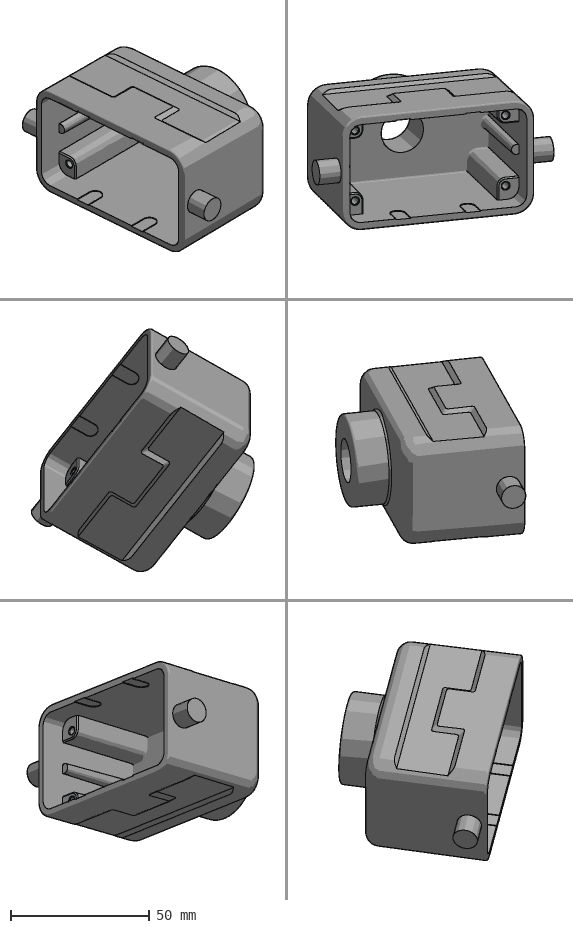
import cadquery as cq
import math


BODY_LENGTH = 72.8
RIM_HEIGHT = 43.0
CORNER_RADIUS = 7.5
BODY_DEPTH = 45.2
BACK_HEIGHT = 42.2
BACK_EDGE_RADIUS = 5.0
RIM_EDGE_RADIUS = 0.7

MOUTH_LENGTH = 67.2
MOUTH_HEIGHT = 37.2
MOUTH_CORNER_RADIUS = 4.3
SEAT_DEPTH = 9.3
BACK_WALL = 3.2
CAVITY_DEPTH = BODY_DEPTH - BACK_WALL
INNER_DRAFT = 1.0
FLOOR_RADIUS = 0.7

POST_X = 28.6
POST_Z = 13.4
POST_RADIUS = 3.1
POST_EDGE_CHAMFER = 0.5
SCREW_HOLE_DIAMETER = 2.7
SCREW_HOLE_DEPTH = 15.0
SCREW_HOLE_CHAMFER = 0.3
RIB_X = 32.7
RIB_RADIUS = 1.9

GROOVE_X = 13.3
GROOVE_WIDTH = 5.5
GROOVE_DEPTH = 0.3

NECK_DIAMETER = 34.0
NECK_END = 58.0
NECK_EDGE_RADIUS = 1.0
NECK_FLARE_WIDTH = 0.6
NECK_FLARE_LENGTH = 0.8
CABLE_HOLE_DIAMETER = 16.0

PIN_DIAMETER = 9.0
PIN_Y = 6.2
PIN_SPAN = 89.0

PANEL_Z = 20.0
PANEL_FRONT = 14.6
PANEL_BACK = 33.5
PANEL_WALL_ANGLE = 53.0
PANEL_END_X = 32.0
PANEL_END_SLOPE = 6.0
TONGUE_HALF_WIDTH = 11.7
TONGUE_TIP = 24.8
TONGUE_CORNER_RADIUS = 1.8

OVERLAP = 1.0


def facing_back(y):
    """Workplane at the given Y whose normal is +Y and whose vertical is Z."""
    return cq.Workplane(cq.Plane(origin=(0, y, 0), xDir=(-1, 0, 0), normal=(0, 1, 0)))


def rounded_rectangle(length, height, radius):
    return cq.Sketch().rect(length, height).vertices().fillet(radius)


def rounded_block(y, length, height, radius, depth, draft=0.0):
    """Block with rounded corners, narrowing toward +Y by the draft angle."""
    outline = rounded_rectangle(length, height, radius)
    return facing_back(y).placeSketch(outline).extrude(depth, taper=draft)


def outer_shell():
    """Body whose broad faces converge toward the back, with all its edges rounded."""
    side_profile = [
        (0, -RIM_HEIGHT / 2),
        (BODY_DEPTH, -BACK_HEIGHT / 2),
        (BODY_DEPTH, BACK_HEIGHT / 2),
        (0, RIM_HEIGHT / 2),
    ]
    body = (
        cq.Workplane("YZ", origin=(-BODY_LENGTH / 2, 0, 0))
        .polyline(side_profile)
        .close()
        .extrude(BODY_LENGTH)
    )
    body = body.faces("<X or >X").edges("not |Z").fillet(CORNER_RADIUS)
    body = body.faces(">Y").edges().fillet(BACK_EDGE_RADIUS)
    return body.faces("<Y").edges().fillet(RIM_EDGE_RADIUS)


def neck():
    radius = NECK_DIAMETER / 2
    start = BODY_DEPTH - BACK_WALL
    cylinder = facing_back(start).circle(radius).extrude(NECK_END - start)
    cylinder = cylinder.faces(">Y").edges().fillet(NECK_EDGE_RADIUS)
    flare_start = BODY_DEPTH - NECK_FLARE_LENGTH
    flare = cq.Solid.makeCone(
        radius + 2 * NECK_FLARE_WIDTH,
        radius,
        2 * NECK_FLARE_LENGTH,
        pnt=cq.Vector(0, flare_start, 0),
        dir=cq.Vector(0, 1, 0),
    )
    return cylinder.union(cq.Workplane(flare))


def pins():
    return (
        cq.Workplane("YZ", origin=(-PIN_SPAN / 2, 0, 0))
        .center(PIN_Y, 0)
        .circle(PIN_DIAMETER / 2)
        .extrude(PIN_SPAN)
    )


def screw_post(side_x, side_z):
    """Corner block with a rounded inner corner, widening toward the cavity floor."""
    depth = CAVITY_DEPTH - SEAT_DEPTH
    base_radius = POST_RADIUS + depth * math.tan(math.radians(INNER_DRAFT))
    inner_x = POST_X - base_radius
    inner_z = POST_Z - base_radius
    length = BODY_LENGTH - inner_x
    height = RIM_HEIGHT - inner_z
    post = (
        facing_back(CAVITY_DEPTH)
        .center(-side_x * (inner_x + length / 2), side_z * (inner_z + height / 2))
        .placeSketch(rounded_rectangle(length, height, base_radius))
        .extrude(-depth, taper=INNER_DRAFT)
    )
    return post.faces("<Y").edges().chamfer(POST_EDGE_CHAMFER)


def guide_rib(side_x):
    depth = CAVITY_DEPTH - SEAT_DEPTH
    base_radius = RIB_RADIUS + depth * math.tan(math.radians(INNER_DRAFT))
    return (
        facing_back(CAVITY_DEPTH)
        .center(-side_x * RIB_X, 0)
        .circle(base_radius)
        .extrude(-depth, taper=INNER_DRAFT)
    )


def cavity():
    seat = rounded_block(0, MOUTH_LENGTH, MOUTH_HEIGHT, MOUTH_CORNER_RADIUS, SEAT_DEPTH)
    pocket = rounded_block(
        SEAT_DEPTH,
        MOUTH_LENGTH,
        MOUTH_HEIGHT,
        MOUTH_CORNER_RADIUS,
        CAVITY_DEPTH - SEAT_DEPTH,
        INNER_DRAFT,
    )
    for side_x in (-1, 1):
        pocket = pocket.cut(guide_rib(side_x))
        for side_z in (-1, 1):
            pocket = pocket.cut(screw_post(side_x, side_z))
    pocket = pocket.faces(">Y").edges().fillet(FLOOR_RADIUS)
    return seat.union(pocket)


def mouth_grooves():
    """Two full-height cutters, each reaching slightly into both long walls."""
    radius = GROOVE_WIDTH / 2
    height = MOUTH_HEIGHT + 2 * GROOVE_DEPTH
    straight_end = SEAT_DEPTH - radius
    grooves = (
        cq.Workplane("XY", origin=(0, 0, -height / 2))
        .pushPoints([(-GROOVE_X, straight_end), (GROOVE_X, straight_end)])
        .circle(radius)
        .extrude(height)
    )
    for side_x in (-1, 1):
        grooves = grooves.union(
            cq.Workplane("XY")
            .center(side_x * GROOVE_X, straight_end / 2)
            .box(GROOVE_WIDTH, straight_end, height)
        )
    return grooves


def screw_holes():
    radius = SCREW_HOLE_DIAMETER / 2
    centres = [(x, z) for x in (-POST_X, POST_X) for z in (-POST_Z, POST_Z)]
    face = facing_back(SEAT_DEPTH).pushPoints(centres)
    holes = face.circle(radius).extrude(SCREW_HOLE_DEPTH)
    mouth_radius = radius + SCREW_HOLE_CHAMFER
    for x, z in centres:
        countersink = cq.Solid.makeCone(
            mouth_radius,
            radius,
            SCREW_HOLE_CHAMFER,
            pnt=cq.Vector(x, SEAT_DEPTH, z),
            dir=cq.Vector(0, 1, 0),
        )
        holes = holes.union(cq.Workplane(countersink))
    return holes


def panel_end(side_x):
    """Wedge that lowers the panel floor gently where it runs out over the body corner."""
    run = BODY_LENGTH / 2 + OVERLAP - PANEL_END_X
    drop = run * math.tan(math.radians(PANEL_END_SLOPE))
    return (
        cq.Workplane("XZ", origin=(0, PANEL_FRONT, 0))
        .moveTo(side_x * PANEL_END_X, PANEL_Z)
        .lineTo(side_x * (PANEL_END_X + run), PANEL_Z)
        .lineTo(side_x * (PANEL_END_X + run), PANEL_Z - drop)
        .close()
        .extrude(PANEL_FRONT - PANEL_BACK)
    )


def panel_recess():
    """Cutter for the upper panel: flat floor, sloping walls, open at both ends."""
    height = RIM_HEIGHT / 2 - PANEL_Z
    floor = cq.Workplane("XY", origin=(0, 0, PANEL_Z))
    cutter = (
        floor.center(0, (PANEL_FRONT + PANEL_BACK) / 2)
        .rect(BODY_LENGTH + 2 * OVERLAP, PANEL_BACK - PANEL_FRONT)
        .extrude(height, taper=-PANEL_WALL_ANGLE)
    )
    tongue = (
        floor.center(0, TONGUE_TIP / 2)
        .rect(2 * TONGUE_HALF_WIDTH, TONGUE_TIP)
        .extrude(height, taper=PANEL_WALL_ANGLE)
    )
    cutter = cutter.cut(tongue)
    tongue_zone = cq.selectors.BoxSelector(
        (-TONGUE_HALF_WIDTH - OVERLAP, 0, PANEL_Z),
        (TONGUE_HALF_WIDTH + OVERLAP, TONGUE_TIP + OVERLAP, RIM_HEIGHT / 2),
    )
    sloping_edges = cutter.edges(tongue_zone).edges("not #Z")
    cutter = sloping_edges.fillet(TONGUE_CORNER_RADIUS)
    for side_x in (-1, 1):
        cutter = cutter.union(panel_end(side_x))
    return cutter


hood = outer_shell().union(neck()).union(pins())
hood = hood.cut(cavity()).cut(mouth_grooves()).cut(screw_holes())

cable_hole = facing_back(0).circle(CABLE_HOLE_DIAMETER / 2).extrude(NECK_END)
hood = hood.cut(cable_hole)

upper_panel = panel_recess()
hood = hood.cut(upper_panel).cut(upper_panel.mirror("XY"))

result = hood